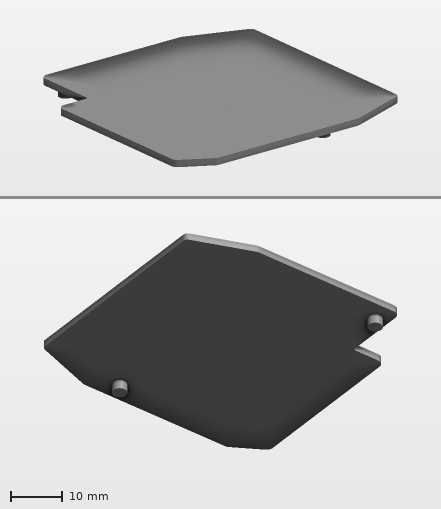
import cadquery as cq
import math

side = 56.0
plate_thickness = 1.5

notch_width = 15.0
notch_depth = 7.5

shoulder_height = 13.8
shoulder_angle = 20.0
bevel_height = 7.35
bevel_angle = 30.0

outer_radius = 1.5
shoulder_top_radius = 1.0
shoulder_base_radius = 2.0
inner_radius = 0.5

pin_diameter = 3.0
pin_length = 1.95
pin_inset = 4.2
left_pin_y = 10.4
right_pin_y = 36.6

shoulder_width = shoulder_height * math.tan(math.radians(shoulder_angle))
bevel_width = bevel_height * math.tan(math.radians(bevel_angle))
shoulder_base_y = side - shoulder_height


def round_corners(body, corners, radius):
    """Round the upright plate edges standing at the given corners."""
    for x, y in corners:
        edge = cq.selectors.NearestToPointSelector((x, y, plate_thickness / 2))
        body = body.edges("|Z").edges(edge).fillet(radius)
    return body


def make_plate():
    notch_left = (0, notch_depth)
    notch_inner = (notch_width, notch_depth)
    notch_bottom = (notch_width, 0)
    bevel_bottom = (side - bevel_width, 0)
    bevel_top = (side, bevel_height)
    right_base = (side, shoulder_base_y)
    right_top = (side - shoulder_width, side)
    left_top = (shoulder_width, side)
    left_base = (0, shoulder_base_y)

    outline = [
        notch_left, notch_inner, notch_bottom, bevel_bottom, bevel_top,
        right_base, right_top, left_top, left_base,
    ]
    plate = cq.Workplane("XY").polyline(outline).close().extrude(plate_thickness)
    plate = round_corners(plate, [notch_left, notch_bottom, bevel_bottom], outer_radius)
    plate = round_corners(plate, [left_top, right_top], shoulder_top_radius)
    plate = round_corners(plate, [left_base, right_base], shoulder_base_radius)
    return round_corners(plate, [notch_inner, bevel_top], inner_radius)


def make_pins():
    centers = [(pin_inset, left_pin_y), (side - pin_inset, right_pin_y)]
    return cq.Workplane("XY").pushPoints(centers).circle(pin_diameter / 2).extrude(-pin_length)


result = make_plate().union(make_pins())